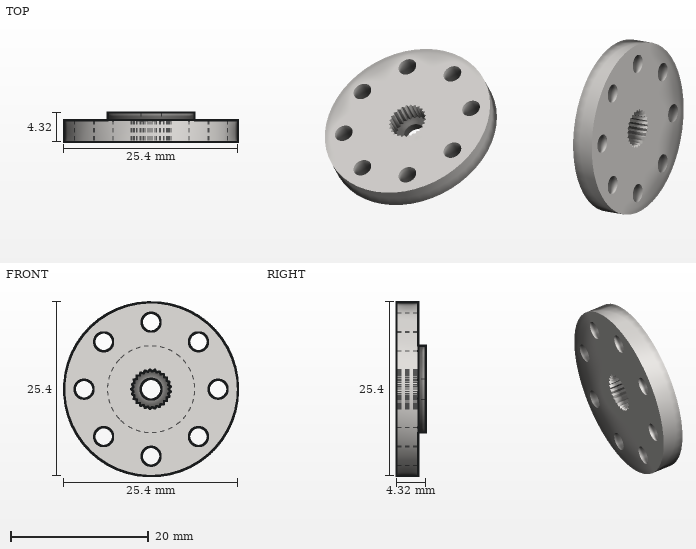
import cadquery as cq
import math

flange_diameter = 25.4
total_depth = 4.32
flange_thickness = 3.2
boss_diameter = flange_diameter / 2

mount_hole_count = 8
mount_hole_diameter = 2.72
mount_circle_radius = 9.78

spline_tooth_count = 25
spline_outer_radius = 2.9
spline_inner_radius = 2.56
spline_depth = 3.05
screw_hole_diameter = 3.0


def cylinder(diameter, depth):
    """Solid disc reaching from the front face back along +Y."""
    return front_plane().circle(diameter / 2).extrude(-depth)


def front_plane():
    """Workplane on the front face, with its normal along -Y."""
    return cq.Workplane("XZ")


def spline_socket():
    """Star-shaped cutter with a groove tip pointing along -X."""
    half_pitch = math.pi / spline_tooth_count
    points = []
    for i in range(2 * spline_tooth_count):
        radius = spline_outer_radius if i % 2 == 0 else spline_inner_radius
        angle = math.pi + i * half_pitch
        points.append((radius * math.cos(angle), radius * math.sin(angle)))
    return front_plane().polyline(points).close().extrude(-spline_depth)


def mount_holes():
    """Through holes evenly spaced around the flange."""
    return (
        front_plane()
        .polarArray(mount_circle_radius, 0, 360, mount_hole_count)
        .circle(mount_hole_diameter / 2)
        .extrude(-flange_thickness)
    )


body = cylinder(flange_diameter, flange_thickness).union(cylinder(boss_diameter, total_depth))
body = body.cut(mount_holes())
body = body.cut(spline_socket())
result = body.cut(cylinder(screw_hole_diameter, total_depth))